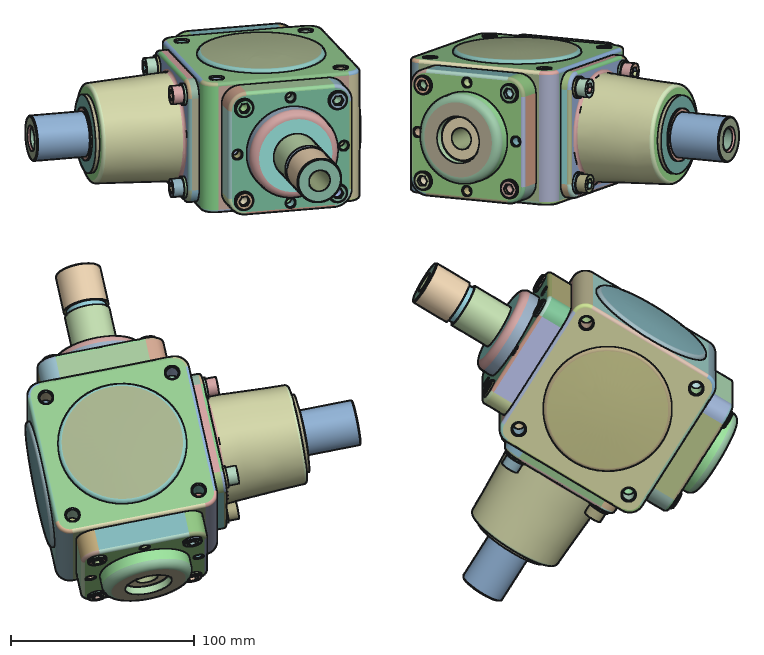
import cadquery as cq
import math


housing_width = 90.0
housing_height = 74.0
housing_corner_radius = 8.0
edge_radius = 1.9
mounting_hole_offset = 35.0
mounting_hole_diameter = 6.7
mounting_hole_mouth_diameter = 8.2
mounting_hole_depth = 13.0

overall_height = 81.0
dome_diameter = 70.1
dome_rim_height = 2.0
dome_seat_depth = 1.9
dome_height = (overall_height - housing_height) / 2

plate_width = 70.1
screw_offset = 26.5
socket_width = 5.2
socket_depth = 2.5
drill_point_angle = 118

side_plate_face = 59.1
side_plate_corner_radius = 10.0
side_boss_face = 69.4
side_boss_diameter = 50.0
side_boss_edge_radius = 4.3
side_screw_head_diameter = 10.5
side_screw_head_height = 1.7
side_screw_head_chamfer = 0.5
tapped_hole_offset = 30.0
tapped_hole_diameter = 4.9
tapped_hole_mouth_diameter = 6.0
tapped_hole_depth = 7.5

shaft_diameter = 25.0
shaft_bore_diameter = 12.0
shaft_end_chamfer = 0.5
overall_length = 186.5
cross_shaft_end = overall_length - side_boss_face
shaft_recess_diameter = 26.0
shaft_recess_depth = 4.0
shaft_clearance_depth = 7.5
ring_groove_start = 92.3
ring_groove_width = 3.4
ring_groove_diameter = 22.2

overall_depth = 178.5
flange_face = 51.0
flange_corner_radius = 9.0
neck_face = 97.4
neck_root_diameter = 63.0
neck_base_diameter = 59.7
neck_end_diameter = 54.8
neck_edge_radius = 1.9
cap_diameter = 43.0
cap_thickness = 2.2
seal_diameter = 29.1
seal_thickness = 1.0
washer_diameter = 12.0
washer_thickness = 1.5
flange_screw_head_diameter = 10.0
flange_screw_head_face = 58.4

drive_shaft_end = overall_depth - housing_width / 2 - dome_height
drive_bore_depth = 24.3
drive_bore_mouth_diameter = 14.2

half_width = housing_width / 2
half_height = housing_height / 2

normals = {
    "+X": (1, 0, 0), "-X": (-1, 0, 0),
    "+Y": (0, 1, 0), "-Y": (0, -1, 0),
    "+Z": (0, 0, 1), "-Z": (0, 0, -1),
}


def side_plane(direction, distance):
    """Work plane facing along direction, centred on the axis at the given distance."""
    normal = normals[direction]
    origin = tuple(distance * component for component in normal)
    x_direction = (0, 1, 0) if direction[1] == "X" else (1, 0, 0)
    return cq.Workplane(cq.Plane(origin, x_direction, normal))


def outer_face(direction):
    """Selector of the face farthest out along direction."""
    return (">" if direction[0] == "+" else "<") + direction[1]


def disc(direction, start, end, diameter):
    """Cylinder between two distances along a shaft axis."""
    return side_plane(direction, start).circle(diameter / 2).extrude(end - start)


def corner_points(offset):
    """Four points of a square pattern."""
    return [(x, y) for x in (-offset, offset) for y in (-offset, offset)]


def cross_points(offset):
    """Four points on the two axes."""
    return [(offset, 0), (-offset, 0), (0, offset), (0, -offset)]


def drilled_holes(direction, face, points, diameter, mouth_diameter, depth):
    """Blind holes with an optional countersunk mouth and a conical drill point."""
    radius = diameter / 2
    mouth_radius = mouth_diameter / 2
    point_depth = radius / math.tan(math.radians(drill_point_angle / 2))
    profile = [(0, 0), (radius, radius - mouth_radius), (radius, -depth), (0, -depth - point_depth)]
    if mouth_radius > radius:
        profile.insert(1, (mouth_radius, 0))
    drill = cq.Workplane("XZ").polyline(profile).close().revolve(360, (0, 0), (0, 1)).val()
    plane_location = side_plane(direction, face).plane.location
    drills = [drill.moved(plane_location * cq.Location(cq.Vector(x, y, 0))) for x, y in points]
    return cq.Workplane().newObject(drills)


def hex_sockets(direction, face):
    """Hexagon sockets of the four cover screws, each with a conical floor."""
    across_corners = socket_width / math.cos(math.radians(30))
    points = corner_points(screw_offset)
    sockets = side_plane(direction, face).pushPoints(points)
    sockets = sockets.polygon(6, across_corners).extrude(-socket_depth)
    return sockets.union(drilled_holes(direction, face, points, socket_width, socket_width, socket_depth))


def cover_plate(direction, seat, face, corner_radius):
    """Square plate with rounded corners and a rounded outer rim."""
    plate = side_plane(direction, seat).rect(plate_width, plate_width).extrude(face - seat)
    plate = plate.edges("|" + direction[1]).fillet(corner_radius)
    return plate.faces(outer_face(direction)).edges().fillet(edge_radius)


def housing():
    """Rounded block with four blind mounting holes on its top and bottom."""
    block = cq.Workplane("XY").box(housing_width, housing_width, housing_height)
    block = block.edges("|Z").fillet(housing_corner_radius)
    block = block.faces("<Z or >Z").edges().fillet(edge_radius)
    for direction in ("+Z", "-Z"):
        block = block.cut(drilled_holes(
            direction, half_height, corner_points(mounting_hole_offset),
            mounting_hole_diameter, mounting_hole_mouth_diameter, mounting_hole_depth,
        ))
    return block


def domed_cover(direction, seat):
    """Round blank cover with a rounded rim and a shallow dome."""
    radius = dome_diameter / 2
    crown_radius = radius - dome_rim_height
    diagonal = dome_rim_height * math.sqrt(0.5)
    crown_rise = dome_height - dome_rim_height
    sphere_radius = (crown_radius**2 + crown_rise**2) / (2 * crown_rise)
    half_chord = crown_radius / 2
    mid_height = dome_height - sphere_radius + math.sqrt(sphere_radius**2 - half_chord**2)
    cover = (
        cq.Workplane("XZ")
        .moveTo(0, -dome_seat_depth)
        .lineTo(radius, -dome_seat_depth)
        .lineTo(radius, 0)
        .threePointArc((crown_radius + diagonal, diagonal), (crown_radius, dome_rim_height))
        .threePointArc((half_chord, mid_height), (0, dome_height))
        .close()
        .revolve(360, (0, 0), (0, 1))
        .val()
    )
    return cq.Workplane(cover.moved(side_plane(direction, seat).plane.location))


def side_cover(direction):
    """Bearing cover with a round boss, four cap screws and four tapped holes."""
    head_face = side_plate_face + side_screw_head_height
    boss = disc(direction, half_width, side_boss_face, side_boss_diameter)
    boss = boss.faces(outer_face(direction)).edges().fillet(side_boss_edge_radius)
    heads = (
        side_plane(direction, half_width)
        .pushPoints(corner_points(screw_offset))
        .circle(side_screw_head_diameter / 2)
        .extrude(head_face - half_width)
        .faces(outer_face(direction))
        .edges()
        .chamfer(side_screw_head_chamfer)
    )
    cover = cover_plate(direction, half_width, side_plate_face, side_plate_corner_radius)
    cover = cover.union(boss).union(heads)
    cover = cover.cut(hex_sockets(direction, head_face))
    return cover.cut(drilled_holes(
        direction, side_plate_face, cross_points(tapped_hole_offset),
        tapped_hole_diameter, tapped_hole_mouth_diameter, tapped_hole_depth,
    ))


def drive_neck():
    """Tapered neck that flares into the flange and is rounded at its outer end."""
    root_radius = neck_root_diameter / 2
    base_radius = neck_base_diameter / 2
    end_radius = neck_end_diameter / 2
    flare = root_radius - base_radius
    flare_mid = flare * (1 - math.sqrt(0.5))
    flare_end = flange_face + flare
    neck = (
        cq.Workplane("XY")
        .moveTo(0, -half_width)
        .lineTo(root_radius, -half_width)
        .lineTo(root_radius, -flange_face)
        .threePointArc((base_radius + flare_mid, -flange_face - flare_mid), (base_radius, -flare_end))
        .lineTo(end_radius, -neck_face)
        .lineTo(0, -neck_face)
        .close()
        .revolve(360, (0, 0), (0, 1))
    )
    return neck.faces("<Y").edges().fillet(neck_edge_radius)


def drive_cover():
    """Flange, neck, end cap and screws on the drive side."""
    cap_face = neck_face + cap_thickness
    cover = cover_plate("-Y", half_width, flange_face, flange_corner_radius)
    cover = cover.union(drive_neck())
    cover = cover.union(disc("-Y", half_width, cap_face, cap_diameter))
    cover = cover.union(disc("-Y", half_width, cap_face + seal_thickness, seal_diameter))
    fasteners = (
        (washer_diameter, flange_face + washer_thickness),
        (flange_screw_head_diameter, flange_screw_head_face),
    )
    for diameter, face in fasteners:
        cover = cover.union(
            side_plane("-Y", half_width)
            .pushPoints(corner_points(screw_offset))
            .circle(diameter / 2)
            .extrude(face - half_width)
        )
    return cover.cut(hex_sockets("-Y", flange_screw_head_face))


def shaft(direction, length):
    """Solid shaft from the housing centre outwards with a chamfered end."""
    bar = disc(direction, 0, length, shaft_diameter)
    return bar.faces(outer_face(direction)).edges().chamfer(shaft_end_chamfer)


def cross_shaft_cuts():
    """Recess around the -X shaft end, retaining ring groove and the through bore."""
    recess_floor = side_boss_face - shaft_recess_depth
    clearance_floor = side_boss_face - shaft_clearance_depth
    recess = disc("-X", clearance_floor, side_boss_face, shaft_recess_diameter)
    shaft_tip = disc("-X", clearance_floor, recess_floor, shaft_diameter)
    shaft_tip = shaft_tip.faces(outer_face("-X")).edges().chamfer(shaft_end_chamfer)
    recess = recess.cut(shaft_tip)
    groove_end = ring_groove_start + ring_groove_width
    groove = disc("+X", ring_groove_start, groove_end, shaft_diameter)
    groove = groove.cut(disc("+X", ring_groove_start, groove_end, ring_groove_diameter))
    bore = disc("+X", -side_boss_face, cross_shaft_end, shaft_bore_diameter)
    return recess, groove, bore


def drive_bore():
    """Blind bore with a chamfered mouth in the drive shaft end."""
    bore_radius = shaft_bore_diameter / 2
    mouth_radius = drive_bore_mouth_diameter / 2
    mouth_floor = mouth_radius - bore_radius - drive_shaft_end
    bore_floor = drive_bore_depth - drive_shaft_end
    return (
        cq.Workplane("XY")
        .moveTo(0, -drive_shaft_end)
        .lineTo(mouth_radius, -drive_shaft_end)
        .lineTo(bore_radius, mouth_floor)
        .lineTo(bore_radius, bore_floor)
        .lineTo(0, bore_floor)
        .close()
        .revolve(360, (0, 0), (0, 1))
    )


result = housing()
for cover_direction, cover_seat in (("+Z", half_height), ("-Z", half_height), ("+Y", half_width)):
    result = result.union(domed_cover(cover_direction, cover_seat))
result = result.union(side_cover("-X")).union(side_cover("+X"))
result = result.union(drive_cover())
result = result.union(shaft("+X", cross_shaft_end)).union(shaft("-Y", drive_shaft_end))
for cross_shaft_cut in cross_shaft_cuts():
    result = result.cut(cross_shaft_cut)
result = result.cut(drive_bore())